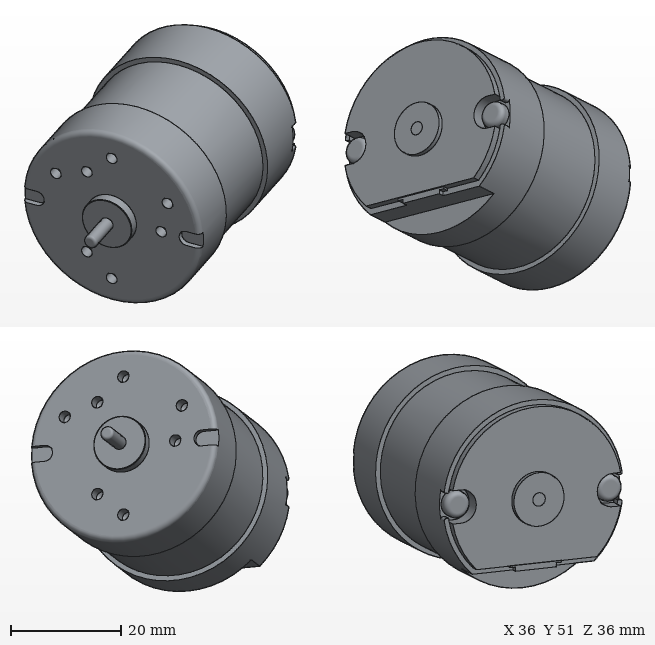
import cadquery as cq
import math


SHAFT_TIP_Y = -9.0
FRONT_BOSS_Y = -2.0
FRONT_RING_END_Y = 10.5
REAR_RING_START_Y = 27.5
REAR_FLAT_START_Y = 35.0
POCKET_FLOOR_Y = 38.0
CAN_END_Y = 39.5
POST_END_Y = 40.05
TERMINAL_END_Y = 40.7
PLATE_END_Y = 41.05
REAR_BOSS_Y = 42.0

RING_DIAMETER = 36.0
BODY_DIAMETER = 34.1
BOSS_DIAMETER = 10.0
SHAFT_DIAMETER = 2.5
FRONT_EDGE_FILLET = 1.0
SHAFT_TIP_FILLET = 0.5
FRONT_BOSS_CHAMFER = 0.1

HOLE_DIAMETER = 2.15
HOLE_DEPTH = 2.55
HOLE_TIP_ANGLE = 118
OUTER_HOLE_RADIUS = 13.0
OUTER_HOLE_ANGLES = (30, 90, 150, 270)
INNER_HOLE_RADIUS = 10.0
INNER_HOLE_ANGLES = (0, 120, 240)

KEY_WIDTH = 3.0
KEY_TIP_X = 13.6
KEY_DEPTH = 1.05

POST_DIAMETER = 5.0
POST_X = 15.2
POST_FILLET = 0.95
POCKET_WIDTH = 6.2
WINDOW_WIDTH = 4.7
WINDOW_LIP_FILLET = 0.4

REAR_FLAT_Z = -13.25
PLATE_FLAT_Z = -12.1
TERMINAL_STEP_Z = -12.5
TERMINAL_WIDTH = 10.2
TERMINAL_PAD_WIDTH = 8.15

SIDES = (-1, 1)


def cylinder(diameter, start_y, end_y, x=0, z=0):
    """Cylinder along Y between two stations."""
    length = end_y - start_y
    return cq.Workplane(cq.Solid.makeCylinder(
        diameter / 2, length, cq.Vector(x, start_y, z), cq.Vector(0, 1, 0)))


def block(x_range, y_range, z_range):
    """Box between the given limits on each axis."""
    sizes = [high - low for low, high in (x_range, y_range, z_range)]
    corner = (x_range[0], y_range[0], z_range[0])
    return cq.Workplane().box(*sizes, centered=False).translate(corner)


def round_ended_slot(side, center_x, width, start_y, end_y):
    """Slot with a round inner end at center_x, running outwards past the can."""
    outer_x = side * RING_DIAMETER
    straight = block(
        sorted((side * center_x, outer_x)), (start_y, end_y), (-width / 2, width / 2))
    return cylinder(width, start_y, end_y, x=side * center_x).union(straight)


def make_can():
    """Can with a thicker ring at each end and a boss on each end face."""
    front_ring = cylinder(RING_DIAMETER, 0, FRONT_RING_END_Y).faces("<Y").edges().fillet(FRONT_EDGE_FILLET)
    body = cylinder(BODY_DIAMETER, FRONT_RING_END_Y, REAR_RING_START_Y)
    rear_ring = cylinder(RING_DIAMETER, REAR_RING_START_Y, CAN_END_Y)
    plate = cylinder(BODY_DIAMETER, CAN_END_Y, PLATE_END_Y)
    front_boss = cylinder(BOSS_DIAMETER, FRONT_BOSS_Y, 0).faces("<Y").edges().chamfer(FRONT_BOSS_CHAMFER)
    rear_boss = cylinder(BOSS_DIAMETER, PLATE_END_Y, REAR_BOSS_Y)
    can = front_ring
    for section in (body, rear_ring, plate, front_boss, rear_boss):
        can = can.union(section)
    return can


def mounting_hole(radius, angle):
    """Blind drilled hole with a conical bottom."""
    x = radius * math.cos(math.radians(angle))
    z = radius * math.sin(math.radians(angle))
    tip_length = HOLE_DIAMETER / 2 / math.tan(math.radians(HOLE_TIP_ANGLE / 2))
    tip = cq.Solid.makeCone(
        HOLE_DIAMETER / 2, 0, tip_length, cq.Vector(x, HOLE_DEPTH, z), cq.Vector(0, 1, 0))
    return cylinder(HOLE_DIAMETER, 0, HOLE_DEPTH, x, z).union(cq.Workplane(tip))


def cut_front_face(can):
    """Two circles of mounting holes and a key slot at each side."""
    for angle in OUTER_HOLE_ANGLES:
        can = can.cut(mounting_hole(OUTER_HOLE_RADIUS, angle))
    for angle in INNER_HOLE_ANGLES:
        can = can.cut(mounting_hole(INNER_HOLE_RADIUS, angle))
    for side in SIDES:
        can = can.cut(round_ended_slot(side, KEY_TIP_X + KEY_WIDTH / 2, KEY_WIDTH, 0, KEY_DEPTH))
    return can


def cut_rear_flats(can):
    """Flat along the bottom of the rear ring and a higher one on the end plate."""
    half = RING_DIAMETER / 2
    ring_cut = block((-half, half), (REAR_FLAT_START_Y, CAN_END_Y), (-half, REAR_FLAT_Z))
    plate_cut = block((-half, half), (CAN_END_Y, PLATE_END_Y), (-half, PLATE_FLAT_Z))
    return can.cut(ring_cut).cut(plate_cut)


def add_terminal(can):
    """Terminal block under the end plate, with a narrower pad below it."""
    y_range = (CAN_END_Y, TERMINAL_END_Y)
    base = block((-TERMINAL_WIDTH / 2, TERMINAL_WIDTH / 2), y_range, (TERMINAL_STEP_Z, PLATE_FLAT_Z))
    pad = block(
        (-TERMINAL_PAD_WIDTH / 2, TERMINAL_PAD_WIDTH / 2), y_range, (REAR_FLAT_Z, TERMINAL_STEP_Z))
    return can.union(base).union(pad)


def window_cutter(side):
    """Opening through the can wall that widens outwards over two rounded lips."""
    half = WINDOW_WIDTH / 2
    mouth = half + WINDOW_LIP_FILLET
    mouth_x = math.sqrt((RING_DIAMETER / 2) ** 2 - mouth ** 2)
    throat_x = mouth_x - WINDOW_LIP_FILLET
    bend = WINDOW_LIP_FILLET * (1 - math.sqrt(0.5))
    outline = (
        cq.Workplane("XZ", origin=(0, POCKET_FLOOR_Y, 0))
        .moveTo(side * POST_X, -half)
        .lineTo(side * throat_x, -half)
        .threePointArc((side * (mouth_x - bend), -half - bend), (side * mouth_x, -mouth))
        .lineTo(side * RING_DIAMETER / 2, -mouth)
        .lineTo(side * RING_DIAMETER / 2, mouth)
        .lineTo(side * mouth_x, mouth)
        .threePointArc((side * (mouth_x - bend), half + bend), (side * throat_x, half))
        .lineTo(side * POST_X, half)
        .close()
    )
    return outline.extrude(POCKET_FLOOR_Y - CAN_END_Y)


def add_side_posts(can):
    """Pocket, wall window and round-topped post at each side of the rear end."""
    plate_space = cylinder(BODY_DIAMETER, POCKET_FLOOR_Y, PLATE_END_Y)
    for side in SIDES:
        pocket = round_ended_slot(side, POST_X, POCKET_WIDTH, POCKET_FLOOR_Y, PLATE_END_Y)
        post = cylinder(POST_DIAMETER, POCKET_FLOOR_Y, POST_END_Y, x=side * POST_X)
        post = post.faces(">Y").edges().fillet(POST_FILLET)
        can = can.cut(pocket.intersect(plate_space)).cut(window_cutter(side)).union(post)
    return can


def make_housing():
    """Complete housing, bored through for the shaft."""
    housing = cut_front_face(make_can())
    housing = add_terminal(cut_rear_flats(housing))
    housing = add_side_posts(housing)
    return housing.cut(cylinder(SHAFT_DIAMETER, FRONT_BOSS_Y, REAR_BOSS_Y))


def make_shaft():
    """Shaft with a rounded tip, ending flush with the rear boss."""
    return cylinder(SHAFT_DIAMETER, SHAFT_TIP_Y, REAR_BOSS_Y).faces("<Y").edges().fillet(SHAFT_TIP_FILLET)


housing = make_housing()
shaft = make_shaft()
result = cq.Compound.makeCompound([housing.solids().val(), shaft.val()])